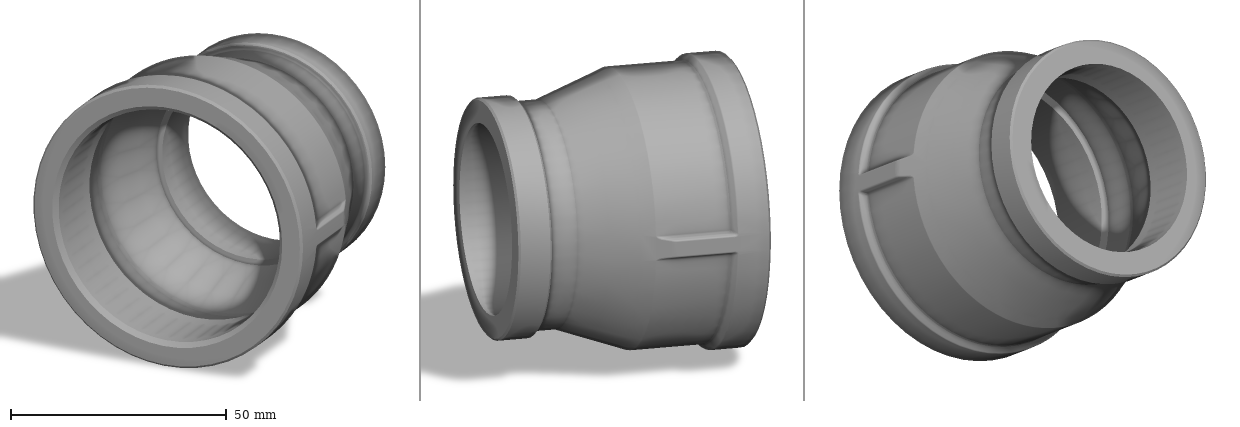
import cadquery as cq
import math

length = 59.0

band_dia = 69.0
body_dia = 65.95
neck_dia = 53.5
collar_dia = 56.5

band_end = 8.0
body_end = 27.25
neck_start = 44.45
collar_start = 50.9

socket_dia = 56.65
relief_dia = 60.6
seat_dia = 47.75
bore_dia = 44.85

socket_depth = 17.9
relief_depth = 27.05
cone_depth = 44.85

rib_top_width = 4.0
rib_root_width = 5.25

rim_chamfer = 0.55
collar_chamfer = 0.5
mouth_chamfer = 1.1
neck_fillet = 0.55
root_fillet = 0.7
rim_fillet = 0.5
relief_fillet = 4.15
rib_end_fillet = 4.15

pocket_margin = 0.7
select_margin = 0.1

band_radius = band_dia / 2
body_radius = body_dia / 2
band_rise = band_radius - body_radius
shoulder_end = band_end + band_rise
body_cone_slope = (body_radius - neck_dia / 2) / (neck_start - body_end)
rib_end = body_end - band_rise / body_cone_slope


def revolve_about_y(points):
    """Revolve a closed outline of (radius, y) points about the Y axis."""
    return cq.Workplane("XY").polyline(points).close().revolve(360, (0, 0, 0), (0, 1, 0))


def ring_edges(solid, radius, y):
    """Select the circular edges of the given radius lying at height y on the axis."""
    low = (-radius - select_margin, y - select_margin, -radius - select_margin)
    high = (radius + select_margin, y + select_margin, radius + select_margin)
    rings = solid.edges(cq.selectors.BoxSelector(low, high, boundingbox=True))
    circles = rings.filter(lambda edge: edge.geomType() == "CIRCLE")
    return circles.filter(lambda edge: abs(edge.radius() - radius) < select_margin)


def make_envelope():
    """Solid outer shape with the band surface carried along the whole body, as far as the cone."""
    envelope = revolve_about_y([
        (0, 0),
        (band_radius, 0),
        (band_radius, rib_end),
        (neck_dia / 2, neck_start),
        (neck_dia / 2, collar_start),
        (collar_dia / 2, collar_start),
        (collar_dia / 2, length),
        (0, length),
    ])
    envelope = ring_edges(envelope, neck_dia / 2, collar_start).fillet(neck_fillet)
    envelope = ring_edges(envelope, collar_dia / 2, collar_start).chamfer(collar_chamfer)
    envelope = ring_edges(envelope, collar_dia / 2, length).chamfer(collar_chamfer)
    envelope = ring_edges(envelope, band_radius, rib_end).fillet(rib_end_fillet)
    return ring_edges(envelope, band_radius, 0).chamfer(rim_chamfer)


def make_rib_bars():
    """Bar across the full width whose tapered ends bound the two ribs."""
    side_slope = (rib_root_width - rib_top_width) / 2 / band_rise
    tip_x = band_radius + pocket_margin
    tip_half_width = rib_top_width / 2 - side_slope * pocket_margin
    core_half_width = rib_top_width / 2 + side_slope * band_radius
    section = [
        (-tip_x, -tip_half_width),
        (0, -core_half_width),
        (tip_x, -tip_half_width),
        (tip_x, tip_half_width),
        (0, core_half_width),
        (-tip_x, tip_half_width),
    ]
    return cq.Workplane("XZ").polyline(section).close().extrude(-length)


def make_pockets():
    """Space around the body between the ribs, with a 45 degree shoulder and rounded roots and corners."""
    outer_radius = band_radius + pocket_margin
    pocket_end = body_end + pocket_margin
    ring = revolve_about_y([
        (body_radius, shoulder_end),
        (outer_radius, band_end - pocket_margin),
        (outer_radius, pocket_end),
        (body_radius, pocket_end),
    ])
    pockets = ring.cut(make_rib_bars())
    shoulder_roots = ring_edges(pockets, body_radius, shoulder_end)
    rib_roots = pockets.edges("|Y").filter(
        lambda edge: math.hypot(edge.Center().x, edge.Center().z) < body_radius + select_margin)
    corners = pockets.edges("%HYPERBOLA").filter(lambda edge: edge.Center().y < shoulder_end)
    rounded = shoulder_roots.vals() + rib_roots.vals() + corners.vals()
    return pockets.newObject(rounded).fillet(root_fillet)


def round_pocket_rims(solid):
    """Round the top edges of the ribs and, by tangency, the rim of the shoulder."""
    rib_tops = solid.edges("|Y").filter(
        lambda edge: math.hypot(edge.Center().x, edge.Center().z) > band_radius - select_margin
        and abs(edge.Center().z) > select_margin)
    return rib_tops.fillet(rim_fillet)


def make_cavity():
    """Socket, wider relief, tapered passage and narrow through bore."""
    cavity = revolve_about_y([
        (0, 0),
        (socket_dia / 2 + mouth_chamfer, 0),
        (socket_dia / 2, mouth_chamfer),
        (socket_dia / 2, socket_depth),
        (relief_dia / 2, socket_depth),
        (relief_dia / 2, relief_depth),
        (seat_dia / 2, cone_depth),
        (bore_dia / 2, cone_depth),
        (bore_dia / 2, length),
        (0, length),
    ])
    return ring_edges(cavity, relief_dia / 2, relief_depth).fillet(relief_fillet)


outside = round_pocket_rims(make_envelope().cut(make_pockets()))
result = outside.cut(make_cavity())